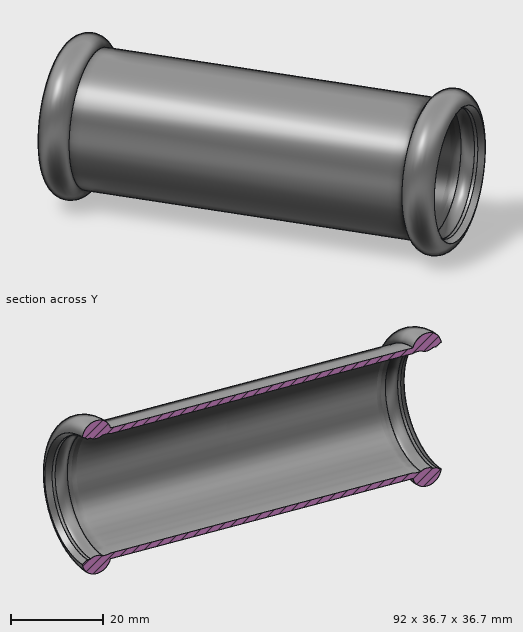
import cadquery as cq
import math

length = 92.0
tube_radius = 31.4 / 2
bore_radius = 28.4 / 2
socket_radius = 28.8 / 2

bead_width = 7.45
bead_outer_radius = 18.35
mouth_radius = 15.2
bead_rise = bead_outer_radius - mouth_radius
bead_arc_radius = ((bead_width / 2) ** 2 + bead_rise**2) / (2 * bead_rise)
bead_center_radius = bead_outer_radius - bead_arc_radius

mouth_depth = 1.4
seal_half_width = 1.6
seal_height = 0.5
socket_depth = 6.4
step_end_depth = 7.5


def sleeve_half():
    """Revolve the half of the sleeve from its -X end to the middle."""
    end_x = -length / 2
    bead_x = end_x + bead_width / 2
    bead_foot = math.sqrt(bead_arc_radius**2 - (tube_radius - bead_center_radius) ** 2)
    profile = (
        cq.Workplane("XY")
        .moveTo(0, bore_radius)
        .lineTo(0, tube_radius)
        .lineTo(bead_x + bead_foot, tube_radius)
        .threePointArc((bead_x, bead_outer_radius), (end_x, mouth_radius))
        .lineTo(end_x + mouth_depth, socket_radius)
        .lineTo(bead_x - seal_half_width, socket_radius)
        .threePointArc(
            (bead_x, socket_radius - seal_height),
            (bead_x + seal_half_width, socket_radius),
        )
        .lineTo(end_x + socket_depth, socket_radius)
        .lineTo(end_x + step_end_depth, bore_radius)
        .close()
    )
    return profile.revolve(360, (0, 0, 0), (1, 0, 0))


half = sleeve_half()
result = half.union(half.mirror("YZ")).clean()